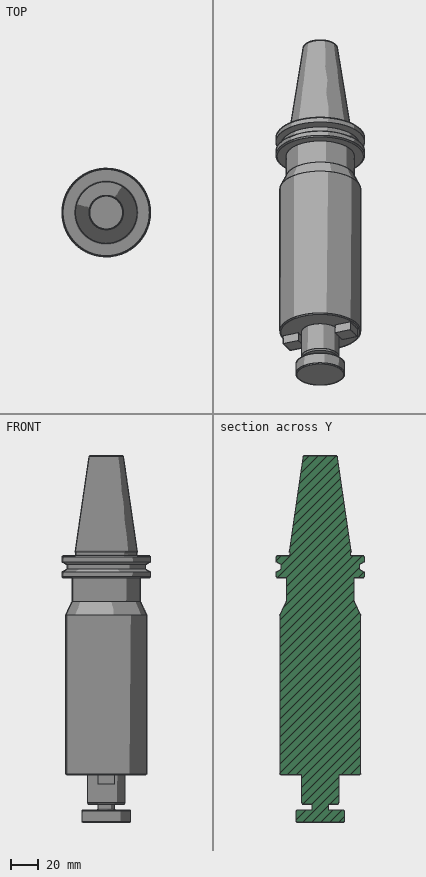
import cadquery as cq
import math


TAPER_RATIO = 7 / 24
gauge_radius = 44.45 / 2
taper_length = 68.4
tip_chamfer_width = 0.6
tip_chamfer_height = 0.8
gauge_land = 0.5
relief_radius = 44 / 2
relief_fillet = 0.6

flange_radius = 63.5 / 2
flange_top = -3.2
flange_bottom = -19.1
flange_chamfer = 0.9
groove_center = -11.25
groove_radius = 56.25 / 2
groove_floor_width = 3.2
groove_flank_angle = 30

neck_radius = 49 / 2
neck_bottom = -36
body_radius = 58 / 2
body_top = -45.5
body_bottom = -160
body_chamfer = 0.8

spigot_radius = 27 / 2
spigot_length = 21
spigot_chamfer_width = 0.7
spigot_chamfer_height = 1.3
screw_radius = 12 / 2
screw_fillet = 0.5
head_radius = 35 / 2
head_height = 9
head_chamfer = 0.7
overall_length = 262.4

key_width = 12
key_drop = 6.3
key_inner = 14.5
key_outer = 26.5
key_embed = 1.0


def cove(outline, shaft_radius, shoulder_z, fillet):
    """Draw down a shaft and round its inside corner onto the shoulder below."""
    arc_middle = fillet * (1 - math.sqrt(0.5))
    return outline.lineTo(shaft_radius, shoulder_z + fillet).threePointArc(
        (shaft_radius + arc_middle, shoulder_z + arc_middle),
        (shaft_radius + fillet, shoulder_z),
    )


def polyline_to(outline, points):
    """Continue the outline with straight segments through the points."""
    for radius, z in points:
        outline = outline.lineTo(radius, z)
    return outline


def shank_points():
    """Taper from the chamfered tip to the top of the relief neck."""
    tip_radius = gauge_radius - taper_length * TAPER_RATIO / 2
    shoulder_radius = tip_radius + tip_chamfer_height * TAPER_RATIO / 2
    return [
        (shoulder_radius - tip_chamfer_width, taper_length),
        (shoulder_radius, taper_length - tip_chamfer_height),
        (gauge_radius, 0),
        (gauge_radius, -gauge_land),
        (relief_radius, -gauge_land),
    ]


def flange_points():
    """Chamfered flange rim with the V-groove around it."""
    floor_half = groove_floor_width / 2
    groove_depth = flange_radius - groove_radius
    mouth_half = floor_half + groove_depth * math.tan(math.radians(groove_flank_angle))
    return [
        (flange_radius - flange_chamfer, flange_top),
        (flange_radius, flange_top - flange_chamfer),
        (flange_radius, groove_center + mouth_half),
        (groove_radius, groove_center + floor_half),
        (groove_radius, groove_center - floor_half),
        (flange_radius, groove_center - mouth_half),
        (flange_radius, flange_bottom + flange_chamfer),
        (flange_radius - flange_chamfer, flange_bottom),
    ]


def body_points():
    """Neck, conical shoulder, body and spigot, ending at the screw shank."""
    spigot_bottom = body_bottom - spigot_length
    return [
        (neck_radius, flange_bottom),
        (neck_radius, neck_bottom),
        (body_radius, body_top),
        (body_radius, body_bottom + body_chamfer),
        (body_radius - body_chamfer, body_bottom),
        (spigot_radius, body_bottom),
        (spigot_radius, spigot_bottom + spigot_chamfer_height),
        (spigot_radius - spigot_chamfer_width, spigot_bottom),
        (screw_radius, spigot_bottom),
    ]


def screw_head_points(head_top, head_bottom):
    """Screw head with both rims chamfered, ending on the axis."""
    return [
        (head_radius - head_chamfer, head_top),
        (head_radius, head_top - head_chamfer),
        (head_radius, head_bottom + head_chamfer),
        (head_radius - head_chamfer, head_bottom),
        (0, head_bottom),
    ]


def make_turned_body():
    """Revolve the half outline of everything that is round about Z."""
    head_bottom = taper_length - overall_length
    head_top = head_bottom + head_height

    outline = cq.Workplane("XZ").moveTo(0, taper_length)
    outline = polyline_to(outline, shank_points())
    outline = cove(outline, relief_radius, flange_top, relief_fillet)
    outline = polyline_to(outline, flange_points())
    outline = polyline_to(outline, body_points())
    outline = cove(outline, screw_radius, head_top, screw_fillet)
    outline = polyline_to(outline, screw_head_points(head_top, head_bottom))
    return outline.close().revolve(360, (0, 0, 0), (0, 1, 0))


def make_drive_key(side):
    """Rectangular key on the +Y (side = 1) or -Y (side = -1) half of the lower face."""
    key_center = side * (key_inner + key_outer) / 2
    return (
        cq.Workplane("XY")
        .workplane(offset=body_bottom - key_drop)
        .center(0, key_center)
        .rect(key_width, key_outer - key_inner)
        .extrude(key_drop + key_embed)
    )


result = make_turned_body()
for key_side in (1, -1):
    result = result.union(make_drive_key(key_side))